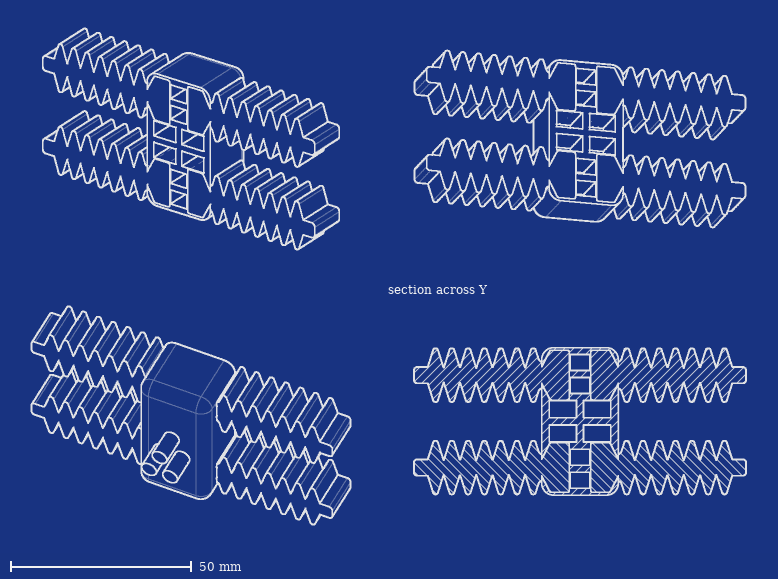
import cadquery as cq
import math

overall_length = 92.1
rack_row_z = 12.8
rack_depth = 11.9

housing_width = 21.4
housing_height = 41.0
housing_depth = 18.4
housing_corner_radius = 3.4
back_edge_radius = 3.4

pin_diameter = 4.5
pin_length = 8.0
pin_offset_x = 3.2
pin_offset_z = 3.2

wall = 2.0
pocket_depth = rack_depth
side_pocket_width = 7.5
side_pocket_height = 4.7
center_pocket_width = 5.5

teeth_per_rack = 7
tooth_pitch = 4.5
tooth_half_height = 7.5
valley_half_height = 2.0
tooth_tip_radius = 0.7
bar_half_height = 2.3
round_diameter = 2.1
round_radius = round_diameter / 2
head_inner_x = 3.0
head_shoulder_x = 8.2
head_half_height = 6.8
head_corner_radius = 0.55

rack_end_x = overall_length / 2
neck_x = housing_width / 2
last_tooth_x = neck_x + (teeth_per_rack - 0.5) * tooth_pitch

tip_center_z = tooth_half_height - tooth_tip_radius
valley_dx = tooth_pitch / 2
valley_dz = tip_center_z - valley_half_height
tip_distance = math.hypot(valley_dx, valley_dz)
flank_angle = math.atan2(valley_dx, valley_dz) - math.asin(tooth_tip_radius / tip_distance)
tip_dx = tooth_tip_radius * math.cos(flank_angle)
tip_z = tip_center_z + tooth_tip_radius * math.sin(flank_angle)
bar_start_x = last_tooth_x + valley_dx - (bar_half_height - valley_half_height) * math.tan(flank_angle)


def extrude_back(sketch, depth):
    """Extrude an XZ sketch from the front face toward +Y."""
    return sketch.extrude(-depth)


def make_toothed_bar():
    """Teeth and end bar: the upper half, mirrored about the rack axis."""
    outline = cq.Workplane("XZ").moveTo(neck_x, 0).lineTo(neck_x, valley_half_height)
    for i in range(teeth_per_rack):
        tooth_x = neck_x + (i + 0.5) * tooth_pitch
        outline = outline.lineTo(tooth_x - tip_dx, tip_z)
        outline = outline.threePointArc((tooth_x, tooth_half_height), (tooth_x + tip_dx, tip_z))
        if i < teeth_per_rack - 1:
            outline = outline.lineTo(tooth_x + valley_dx, valley_half_height)
    outline = outline.lineTo(bar_start_x, bar_half_height).lineTo(rack_end_x, bar_half_height)
    half = extrude_back(outline.lineTo(rack_end_x, 0).close(), rack_depth)
    bar = half.union(half.mirror("XY")).clean()
    return bar.edges("|Y and >X").fillet(round_radius)


def make_head():
    """Head with slanted shoulders that lock the rack in the housing."""
    outline = cq.Workplane("XZ").polyline([
        (neck_x, valley_half_height),
        (head_shoulder_x, head_half_height),
        (head_inner_x, head_half_height),
        (head_inner_x, -head_half_height),
        (head_shoulder_x, -head_half_height),
        (neck_x, -valley_half_height),
    ]).close()
    head = extrude_back(outline, rack_depth)
    return head.edges("|Y and (<X or >Z or <Z)").fillet(head_corner_radius)


def make_right_rack():
    """Toothed bar and head joined, with the neck valleys rounded outside the housing wall."""
    sharp_rack = make_toothed_bar().union(make_head()).clean()
    rounded_rack = sharp_rack
    for z in (-valley_half_height, valley_half_height):
        neck_valley = cq.NearestToPointSelector((neck_x, rack_depth / 2, z))
        rounded_rack = rounded_rack.edges("|Y").edges(neck_valley).fillet(round_radius)
    outside_housing = extrude_back(
        cq.Workplane("XZ").center((neck_x + rack_end_x) / 2, 0).rect(rack_end_x - neck_x, housing_height),
        rack_depth,
    )
    return sharp_rack.union(rounded_rack.intersect(outside_housing)).clean()


def make_racks():
    """Four racks: left and right of the housing, in the upper and lower rows."""
    right_rack = make_right_rack()
    racks = []
    for rack in (right_rack, right_rack.mirror("YZ")):
        for z in (-rack_row_z, rack_row_z):
            racks.append(rack.translate((0, 0, z)))
    return racks


def make_pocket(center_x, bottom_z, width, height):
    sketch = cq.Workplane("XZ").center(center_x, bottom_z + height / 2).rect(width, height)
    return extrude_back(sketch, pocket_depth)


def make_pockets():
    """Pockets of the upper half: two side by side, then two stacked between the heads."""
    side_x = (wall + side_pocket_width) / 2
    pockets = [
        make_pocket(x, wall / 2, side_pocket_width, side_pocket_height) for x in (-side_x, side_x)
    ]
    first_bottom = wall / 2 + side_pocket_height + wall
    center_height = (housing_height / 2 - wall - first_bottom - wall) / 2
    for i in range(2):
        bottom = first_bottom + i * (center_height + wall)
        pockets.append(make_pocket(0, bottom, center_pocket_width, center_height))
    return pockets


def make_pins():
    """One pin above and two below, standing on the back face."""
    centers = [(0, pin_offset_z), (-pin_offset_x, -pin_offset_z), (pin_offset_x, -pin_offset_z)]
    sketch = cq.Workplane("XZ", origin=(0, housing_depth, 0)).pushPoints(centers).circle(pin_diameter / 2)
    return extrude_back(sketch, pin_length)


def make_housing(racks):
    block = extrude_back(cq.Workplane("XZ").rect(housing_width, housing_height), housing_depth)
    block = block.edges("|Y").fillet(housing_corner_radius)
    housing = block.faces(">Y").edges().fillet(back_edge_radius)
    housing = housing.union(make_pins())
    for pocket in make_pockets():
        housing = housing.cut(pocket).cut(pocket.mirror("XY"))
    for rack in racks:
        housing = housing.cut(rack)
    return housing


racks = make_racks()
housing = make_housing(racks)
result = cq.Compound.makeCompound([body.solids().val() for body in (housing, *racks)])